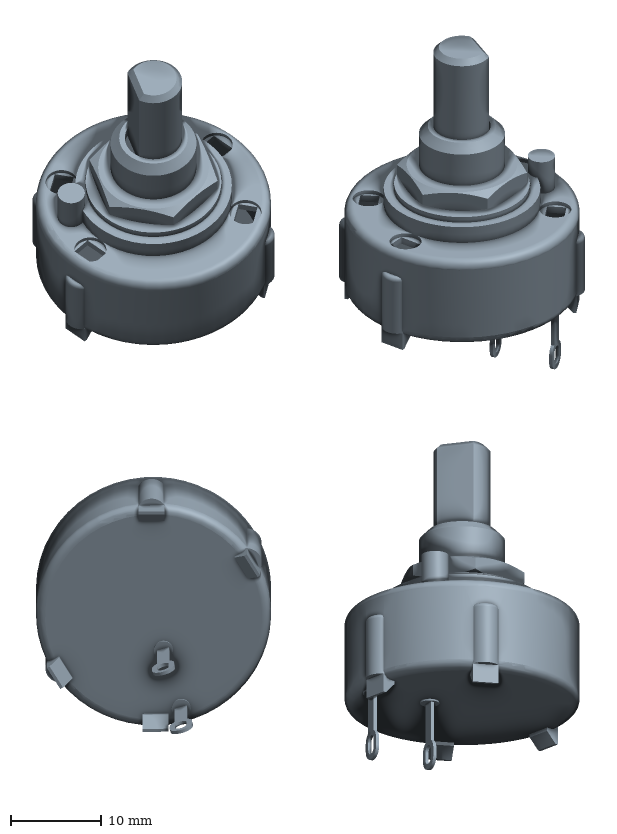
import cadquery as cq
import math

TOTAL_HEIGHT = 38.5
BUSHING_TOP = 28.5
NUT_TOP = 23.55
NUT_BOTTOM = 21.15
COLLAR_TOP = 20.52
BODY_TOP = 18.5
BODY_BOTTOM = 7.95

BODY_DIAMETER = 26.0
BODY_FILLET = 1.0
COVER_THICKNESS = 1.27
BASE_THICKNESS = 1.27
CAVITY_DIAMETER = 24.0

EMBED_DEPTH = 0.95

COLLAR_DIAMETER = 17.32
COLLAR_RECESS_DIAMETER = 15.3
COLLAR_RECESS_DEPTH = 0.1
WASHER_DIAMETER = 15.0
BUSHING_DIAMETER = 9.5
BUSHING_CHAMFER = 0.95
NUT_ACROSS_FLATS = 12.55
NUT_FACE_DIAMETER = 12.25
NUT_CHAMFER_ANGLE = 27.0

SHAFT_DIAMETER = 6.35
SHAFT_CHAMFER = 0.6
FLAT_OFFSET = 2.35
SHAFT_SOCKET_DEPTH = 1.15
SHAFT_BOTTOM = BUSHING_TOP - SHAFT_SOCKET_DEPTH

PIN_DIAMETER = 3.0
PIN_OFFSET = 9.55
PIN_TOP = 22.52

CLIP_ANGLES = (60, 120, 240, 300)
WINDOW_RADIUS = 10.4
WINDOW_DIAMETER = 3.55
WINDOW_DEPTH = 0.45
OPENING_RADIAL = 2.15
OPENING_WIDTH = 2.77
PILLAR_RADIUS = 1.7
PILLAR_OFFSET = 11.97
PILLAR_TOP = 15.5
PILLAR_BOTTOM = 8.45
PILLAR_FILLET = 0.5
HOOK_WIDTH = 2.9
HOOK_OUTER = 12.9
HOOK_TIP_THICKNESS = 0.35
HOOK_BOTTOM = 6.3
HOOK_SLOPE = 1.25

TERMINAL_OFFSETS = (4.0, 11.1)
TERMINAL_ANGLE = 225
TERMINAL_THICKNESS = 0.4
STEM_WIDTH = 1.4
EYE_WIDTH = 2.55
EYE_HEIGHT = 3.43
EYE_RIM = 0.6
TERMINAL_PAD_DIAMETER = 2.1
TERMINAL_PAD_HEIGHT = 0.2


def disc(diameter, bottom, top):
    return cq.Workplane("XY").workplane(offset=bottom).circle(diameter / 2).extrude(top - bottom)


def block(length, width, bottom, top):
    return cq.Workplane("XY").workplane(offset=bottom).rect(length, width).extrude(top - bottom)


def at_angle(shape, angle):
    return shape.rotate((0, 0, 0), (0, 0, 1), angle)


def make_body():
    return disc(BODY_DIAMETER, BODY_BOTTOM, BODY_TOP).faces("<Z or >Z").edges().fillet(BODY_FILLET)


def make_cavity():
    return disc(CAVITY_DIAMETER, BODY_BOTTOM + BASE_THICKNESS, BODY_TOP - COVER_THICKNESS)


def make_collar():
    collar = disc(COLLAR_DIAMETER, BODY_TOP - EMBED_DEPTH, COLLAR_TOP)
    recess = disc(COLLAR_RECESS_DIAMETER, COLLAR_TOP - COLLAR_RECESS_DEPTH, COLLAR_TOP)
    return collar.cut(recess).union(disc(WASHER_DIAMETER, BODY_TOP, NUT_BOTTOM))


def make_nut():
    height = NUT_TOP - NUT_BOTTOM
    across_corners = NUT_ACROSS_FLATS / math.cos(math.radians(30))
    hexagon = (
        cq.Workplane("XY")
        .workplane(offset=NUT_BOTTOM)
        .polygon(6, across_corners)
        .extrude(height)
    )
    face_radius = NUT_FACE_DIAMETER / 2
    corner_radius = across_corners / 2
    drop = (corner_radius - face_radius) * math.tan(math.radians(NUT_CHAMFER_ANGLE))
    chamfer_envelope = (
        cq.Workplane("XZ")
        .moveTo(0, NUT_BOTTOM)
        .lineTo(face_radius, NUT_BOTTOM)
        .lineTo(corner_radius, NUT_BOTTOM + drop)
        .lineTo(corner_radius, NUT_TOP - drop)
        .lineTo(face_radius, NUT_TOP)
        .lineTo(0, NUT_TOP)
        .close()
        .revolve(360, (0, 0, 0), (0, 1, 0))
    )
    return hexagon.intersect(chamfer_envelope)


def make_bushing():
    bushing = disc(BUSHING_DIAMETER, BODY_TOP, BUSHING_TOP).faces(">Z").chamfer(BUSHING_CHAMFER)
    return bushing.cut(disc(SHAFT_DIAMETER, SHAFT_BOTTOM, BUSHING_TOP))


def make_shaft():
    shaft = disc(SHAFT_DIAMETER, SHAFT_BOTTOM, TOTAL_HEIGHT)
    flat_cut = block(SHAFT_DIAMETER, SHAFT_DIAMETER, SHAFT_BOTTOM, TOTAL_HEIGHT).translate(
        (0, -FLAT_OFFSET - SHAFT_DIAMETER / 2, 0)
    )
    return shaft.cut(flat_cut).faces(">Z").chamfer(SHAFT_CHAMFER)


def make_pin():
    return disc(PIN_DIAMETER, BODY_TOP - EMBED_DEPTH, PIN_TOP).translate((0, -PIN_OFFSET, 0))


def make_window():
    """Round recess in the body top with a rectangular opening through to the cavity, along +X."""
    floor = BODY_TOP - WINDOW_DEPTH
    recess = disc(WINDOW_DIAMETER, floor, BODY_TOP)
    opening = block(OPENING_RADIAL, OPENING_WIDTH, BODY_TOP - COVER_THICKNESS, floor)
    return recess.union(opening).translate((WINDOW_RADIUS, 0, 0))


def make_pillar():
    """Rounded pillar bulging from the body side, with a wedge hook beneath it, lying along +X."""
    pillar = disc(2 * PILLAR_RADIUS, PILLAR_BOTTOM, PILLAR_TOP).faces(">Z").edges().fillet(PILLAR_FILLET)
    pillar = pillar.translate((PILLAR_OFFSET, 0, 0))
    tip_inner = HOOK_OUTER - HOOK_TIP_THICKNESS
    root_inner = tip_inner - HOOK_SLOPE
    hook = (
        cq.Workplane("XZ")
        .moveTo(HOOK_OUTER, PILLAR_BOTTOM)
        .lineTo(HOOK_OUTER, HOOK_BOTTOM)
        .lineTo(tip_inner, HOOK_BOTTOM)
        .lineTo(root_inner, HOOK_BOTTOM + HOOK_SLOPE)
        .lineTo(root_inner, PILLAR_BOTTOM)
        .close()
        .extrude(HOOK_WIDTH / 2, both=True)
    )
    return pillar.union(hook)


def make_terminal():
    """Flat strip facing +X, from a round pad down to an eye whose lowest point is at height zero."""
    eye_centre = EYE_HEIGHT / 2
    plane = cq.Workplane("YZ")
    half_thickness = TERMINAL_THICKNESS / 2
    eye = plane.center(0, eye_centre).slot2D(EYE_HEIGHT, EYE_WIDTH, 90).extrude(half_thickness, both=True)
    stem_length = BODY_BOTTOM + EMBED_DEPTH - eye_centre
    stem = (
        plane.center(0, eye_centre + stem_length / 2)
        .rect(STEM_WIDTH, stem_length)
        .extrude(half_thickness, both=True)
    )
    hole = (
        plane.center(0, eye_centre)
        .slot2D(EYE_HEIGHT - 2 * EYE_RIM, EYE_WIDTH - 2 * EYE_RIM, 90)
        .extrude(half_thickness, both=True)
    )
    pad = disc(TERMINAL_PAD_DIAMETER, BODY_BOTTOM - TERMINAL_PAD_HEIGHT, BODY_BOTTOM + EMBED_DEPTH)
    return eye.union(stem).union(pad).cut(hole)


result = make_body()
for add_on in (make_collar(), make_nut(), make_bushing(), make_shaft(), make_pin()):
    result = result.union(add_on)
for clip_angle in CLIP_ANGLES:
    result = result.union(at_angle(make_pillar(), clip_angle))
result = result.cut(make_cavity())
for clip_angle in CLIP_ANGLES:
    result = result.cut(at_angle(make_window(), clip_angle))
for offset in TERMINAL_OFFSETS:
    result = result.union(at_angle(make_terminal().translate((offset, 0, 0)), TERMINAL_ANGLE))